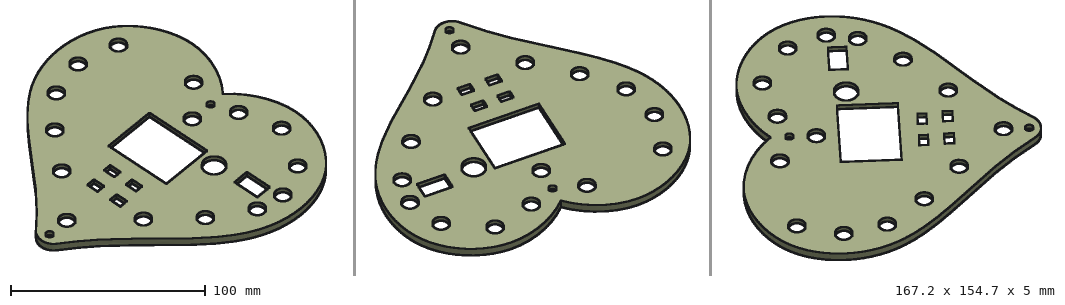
import cadquery as cq
import math

WIDTH = 167.2
DEPTH = 154.7
HEIGHT = 5.0
WALL = 3.0
HALF_WIDTH = WIDTH / 2

NOTCH_Y = 61.7
LOBE_TOP_X = 35.0
LOBE_TOP_Y = DEPTH / 2
WIDEST_Y = 29.0
TIP_Y = -DEPTH / 2
TIP_RADIUS = 9.2
TIP_SIDE_ANGLE = 54.0

INNER_SHOULDER = (16.9, 73.2)
OUTER_SHOULDERS = [(59.2, 71.0), (75.7, 56.0)]

RIGHT_LOWER_SIDE = [(76.9, 1.7), (64.5, -15.9), (45.6, -34.5), (26.6, -51.8), (14.9, -64.4)]
LEFT_LOWER_SIDE = [(77.4, 1.7), (65.2, -15.9), (46.1, -34.5), (27.1, -51.8), (15.0, -64.4)]

LED_HOLE_DIAMETER = 9.0
LED_HOLE_CENTERS = [
    (-16.7, 57.7),
    (-62.9, 51.3),
    (-69.4, 27.6),
    (-64.0, 5.0),
    (-47.2, -14.9),
    (-25.2, -34.0),
    (0.0, 38.1),
    (0.0, -58.0),
    (14.7, 57.3),
    (38.5, 63.9),
    (62.4, 49.7),
    (70.4, 29.5),
    (67.2, 13.4),
    (51.5, -9.0),
    (28.6, -31.1),
]
PIN_HOLE_DIAMETER = 4.2
PIN_HOLE_CENTERS = [(0.2, 52.0), (0.0, -71.2)]
BUTTON_HOLE_DIAMETER = 12.7
BUTTON_HOLE_CENTER = (30.3, 21.2)

WINDOW_SIZE = (39.8, 31.3)
WINDOW_CENTER = (0.8, 10.9)
PORT_SIZE = (15.7, 9.5)
PORT_CENTER = (53.8, 24.2)
UPPER_SLOT_SIZE = (7.0, 4.7)
UPPER_SLOT_CENTERS = [(-5.9, -16.7), (9.2, -16.7)]
LOWER_SLOT_SIZE = (7.0, 5.0)
LOWER_SLOT_CENTERS = [(-5.4, -30.0), (10.4, -30.0)]


def right_half_block(lower_side):
    side_angle = math.radians(TIP_SIDE_ANGLE)
    tip_x = TIP_RADIUS * math.sin(side_angle)
    tip_y = TIP_Y + TIP_RADIUS * (1 - math.cos(side_angle))
    half_outline = [
        (0, NOTCH_Y),
        INNER_SHOULDER,
        (LOBE_TOP_X, LOBE_TOP_Y),
        *OUTER_SHOULDERS,
        (HALF_WIDTH, WIDEST_Y),
        *lower_side,
        (tip_x, tip_y),
    ]
    return (
        cq.Workplane("XY")
        .spline(half_outline)
        .radiusArc((0, TIP_Y), TIP_RADIUS)
        .close()
        .extrude(HEIGHT)
    )


def heart_tray():
    right_half = right_half_block(RIGHT_LOWER_SIDE)
    left_half = right_half_block(LEFT_LOWER_SIDE).mirror("YZ")
    return right_half.union(left_half).faces("<Z").shell(-WALL)


def round_holes(centers, diameter):
    return cq.Workplane("XY").pushPoints(centers).circle(diameter / 2).extrude(HEIGHT)


def rectangular_openings(centers, size):
    return cq.Workplane("XY").pushPoints(centers).rect(*size).extrude(HEIGHT)


result = (
    heart_tray()
    .cut(round_holes(LED_HOLE_CENTERS, LED_HOLE_DIAMETER))
    .cut(round_holes(PIN_HOLE_CENTERS, PIN_HOLE_DIAMETER))
    .cut(round_holes([BUTTON_HOLE_CENTER], BUTTON_HOLE_DIAMETER))
    .cut(rectangular_openings([WINDOW_CENTER], WINDOW_SIZE))
    .cut(rectangular_openings([PORT_CENTER], PORT_SIZE))
    .cut(rectangular_openings(UPPER_SLOT_CENTERS, UPPER_SLOT_SIZE))
    .cut(rectangular_openings(LOWER_SLOT_CENTERS, LOWER_SLOT_SIZE))
)